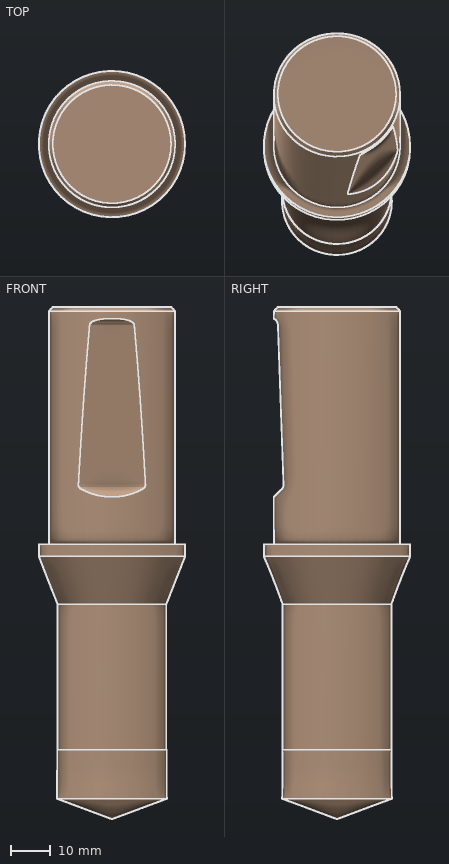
import cadquery as cq
import math

cone_height = 5.2
tip_height = 17.6
taper_bottom = 54.3
collar_bottom = 66.4
collar_top = 69.5
total_length = 129.4

stem_radius = 27.5 / 2
tip_top_radius = 27.7 / 2
tip_foot_radius = 27.8 / 2
collar_radius = 37.0 / 2
shank_radius = 32.0 / 2
shank_chamfer = 1.0

notch_slope = 2.0
notch_depth = 2.5
notch_ramp_start = 81.4
notch_flat_top = 124.7
lower_fillet = 1.5
upper_fillet = 2.0
cut_clearance = 2.6


def make_holder():
    """Stem, tapered collar and chamfered shank as one turned body."""
    return (
        cq.Workplane("XZ")
        .moveTo(0, tip_height)
        .lineTo(stem_radius, tip_height)
        .lineTo(stem_radius, taper_bottom)
        .lineTo(collar_radius, collar_bottom)
        .lineTo(collar_radius, collar_top)
        .lineTo(shank_radius, collar_top)
        .lineTo(shank_radius, total_length - shank_chamfer)
        .lineTo(shank_radius - shank_chamfer, total_length)
        .lineTo(0, total_length)
        .close()
        .revolve(360, (0, 0, 0), (0, 1, 0))
    )


def make_notch_cutter():
    """Prism along X: a 45 degree lower ramp, the sloping flat and a rounded upper end."""
    flat_bottom = notch_ramp_start + notch_depth
    end_wall = notch_flat_top + upper_fillet
    flat_rise = (end_wall - flat_bottom) * math.tan(math.radians(notch_slope))
    lower_corner = (-shank_radius + notch_depth, flat_bottom)
    upper_corner = (-shank_radius + notch_depth - flat_rise, end_wall)
    outside = -shank_radius - cut_clearance
    cutter = (
        cq.Workplane("YZ")
        .moveTo(outside, notch_ramp_start - cut_clearance)
        .lineTo(*lower_corner)
        .lineTo(*upper_corner)
        .lineTo(outside, end_wall)
        .close()
        .extrude(shank_radius, both=True)
    )
    lower_edge = cq.selectors.NearestToPointSelector((0, *lower_corner))
    upper_edge = cq.selectors.NearestToPointSelector((0, *upper_corner))
    cutter = cutter.edges(lower_edge).fillet(lower_fillet)
    return cutter.edges(upper_edge).fillet(upper_fillet)


def make_tip():
    """Slightly back-tapered tip ending in a shallow cone."""
    return (
        cq.Workplane("XZ")
        .moveTo(0, 0)
        .lineTo(tip_foot_radius, cone_height)
        .lineTo(tip_top_radius, tip_height)
        .lineTo(0, tip_height)
        .close()
        .revolve(360, (0, 0, 0), (0, 1, 0))
    )


holder = make_holder().cut(make_notch_cutter())
tip = make_tip()

result = cq.Compound.makeCompound([holder.val(), tip.val()])